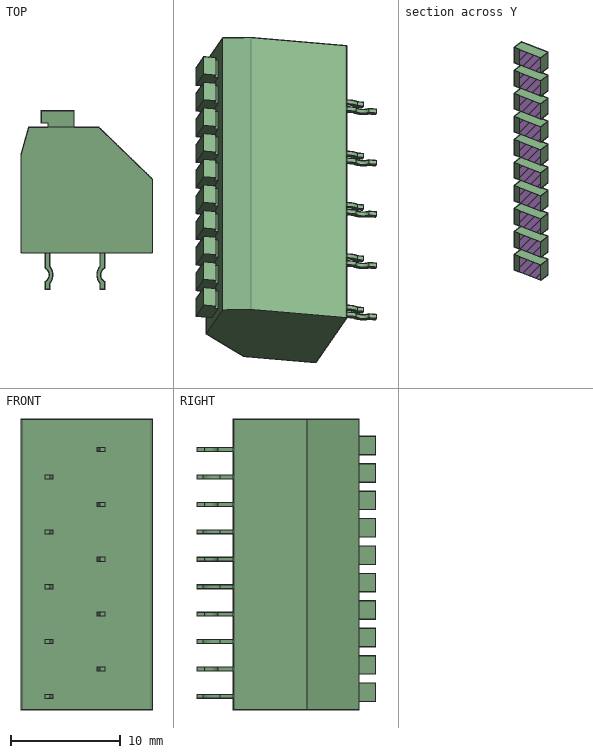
import cadquery as cq

housing_width = 12.0
housing_depth = 11.5
housing_height = 26.5
rear_left_x = 0.7
left_slope_y = 9.0
rear_right_x = 7.1
right_slope_y = 6.75
front_edge_radius = 0.12

pole_count = 10
pole_pitch = 2.5

button_left_x = 1.85
button_right_x = 4.85
button_projection = 1.5
button_height = 1.7
button_first_z = 1.6
button_notch_width = 0.6
button_notch_depth = 0.35

pin_column_gap = 5.0
pin_left_x = 2.42
pin_first_z = 1.23
pin_length = 3.3
pin_width = 0.45
pin_thickness = 0.38
pin_kink_y = -1.97
kink_outer_half = 0.76
kink_outer_rise = 0.27
kink_inner_half = 0.62
kink_inner_rise = 0.37
pin_embed = 0.5


def make_housing():
    outline = [
        (0, 0),
        (housing_width, 0),
        (housing_width, right_slope_y),
        (rear_right_x, housing_depth),
        (rear_left_x, housing_depth),
        (0, left_slope_y),
    ]
    prism = cq.Workplane("XY").polyline(outline).close().extrude(housing_height)
    return prism.edges("|Z and <Y").fillet(front_edge_radius)


def make_button(center_z):
    """Push button with a notch under its left side, against the rear face."""
    neck_x = button_left_x + button_notch_width
    notch_y = housing_depth + button_notch_depth
    button_top_y = housing_depth + button_projection
    outline = [
        (neck_x, housing_depth),
        (button_right_x, housing_depth),
        (button_right_x, button_top_y),
        (button_left_x, button_top_y),
        (button_left_x, notch_y),
        (neck_x, notch_y),
    ]
    profile = cq.Workplane("XY", origin=(0, 0, center_z)).polyline(outline).close()
    return profile.extrude(button_height / 2, both=True)


def make_pin(center_x, center_z, bulge_direction):
    """Flat pin with a curved kink; bulge_direction is +1 or -1 along X."""
    hollow_x = -bulge_direction * pin_width / 2
    bulge_x = -hollow_x
    profile = (
        cq.Workplane("XY", origin=(center_x, 0, center_z))
        .moveTo(hollow_x, pin_embed)
        .lineTo(hollow_x, pin_kink_y + kink_inner_half)
        .threePointArc(
            (hollow_x + bulge_direction * kink_inner_rise, pin_kink_y),
            (hollow_x, pin_kink_y - kink_inner_half),
        )
        .lineTo(hollow_x, -pin_length)
        .lineTo(bulge_x, -pin_length)
        .lineTo(bulge_x, pin_kink_y - kink_outer_half)
        .threePointArc(
            (bulge_x + bulge_direction * kink_outer_rise, pin_kink_y),
            (bulge_x, pin_kink_y + kink_outer_half),
        )
        .lineTo(bulge_x, pin_embed)
        .close()
    )
    return profile.extrude(pin_thickness / 2, both=True)


result = make_housing()
for pole in range(pole_count):
    pole_z = pole * pole_pitch
    result = result.union(make_button(button_first_z + pole_z))
    if pole % 2 == 0:
        pin = make_pin(pin_left_x, pin_first_z + pole_z, 1)
    else:
        pin = make_pin(pin_left_x + pin_column_gap, pin_first_z + pole_z, -1)
    result = result.union(pin)